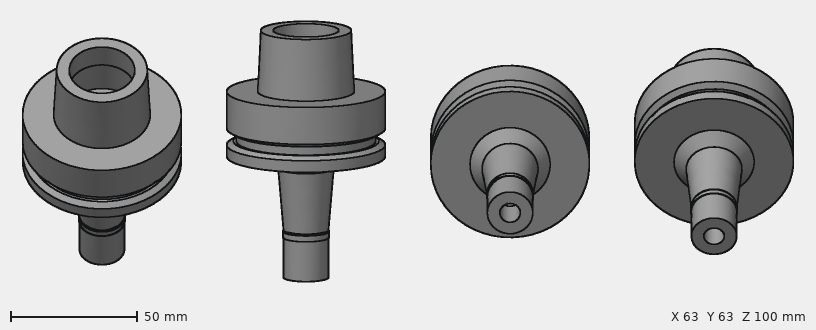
import cadquery as cq
import math

TOTAL_HEIGHT = 100.0
SLEEVE_HEIGHT = 16.2
COLLAR_HEIGHT = 2.4
RELIEF_HEIGHT = 0.6
FLANGE_HEIGHT = 26.3
TAPER_HEIGHT = 24.7

FLANGE_DIAMETER = 63.0
GROOVE_DIAMETER = 55.4
TAPER_BASE_DIAMETER = 38.4
TAPER_TOP_DIAMETER = 36.0
SHANK_TOP_DIAMETER = 22.2
NOSE_DIAMETER = 18.0
COLLAR_DIAMETER = 18.4
RELIEF_DIAMETER = 16.4

FLANGE_LIP_HEIGHT = 4.7
GROOVE_WIDTH = 6.6
GROOVE_CHAMFER_HEIGHT = 1.5
GROOVE_CHAMFER_ANGLE = 30.0

SHOULDER_HEIGHT = 4.8

SOCKET_DIAMETER = 26.0
SOCKET_LIP_DEPTH = 10.0
SOCKET_RECESS_DIAMETER = 29.0
HOLDER_BORE_DIAMETER = 12.0
NOSE_BORE_DIAMETER = 8.1

collar_top = SLEEVE_HEIGHT + COLLAR_HEIGHT
shank_bottom = collar_top + RELIEF_HEIGHT
flange_top = TOTAL_HEIGHT - TAPER_HEIGHT
flange_bottom = flange_top - FLANGE_HEIGHT
shoulder_bottom = flange_bottom - SHOULDER_HEIGHT


def tube(diameter, bore_diameter, bottom, height):
    """Straight tube on the Z axis."""
    base = cq.Workplane("XY").workplane(offset=bottom)
    return base.circle(diameter / 2).circle(bore_diameter / 2).extrude(height)


def make_holder():
    """Turned holder: relief neck, tapered shank, grooved flange and hollow taper."""
    groove_bottom = flange_bottom + FLANGE_LIP_HEIGHT
    groove_top = groove_bottom + GROOVE_WIDTH
    chamfer_width = GROOVE_CHAMFER_HEIGHT / math.tan(math.radians(GROOVE_CHAMFER_ANGLE))
    flange_radius = FLANGE_DIAMETER / 2
    groove_radius = GROOVE_DIAMETER / 2
    groove_mouth_radius = flange_radius - chamfer_width
    shank_radius = SHANK_TOP_DIAMETER / 2
    relief_radius = RELIEF_DIAMETER / 2
    bore_radius = HOLDER_BORE_DIAMETER / 2
    socket_radius = SOCKET_DIAMETER / 2
    recess_radius = SOCKET_RECESS_DIAMETER / 2
    lip_bottom = TOTAL_HEIGHT - SOCKET_LIP_DEPTH

    outside = [
        (relief_radius, collar_top),
        (relief_radius, shank_bottom),
        (NOSE_DIAMETER / 2, shank_bottom),
        (shank_radius, shoulder_bottom),
        (shank_radius + SHOULDER_HEIGHT, flange_bottom),
        (flange_radius, flange_bottom),
        (flange_radius, groove_bottom),
        (groove_mouth_radius, groove_bottom + GROOVE_CHAMFER_HEIGHT),
        (groove_radius, groove_bottom + GROOVE_CHAMFER_HEIGHT),
        (groove_radius, groove_top - GROOVE_CHAMFER_HEIGHT),
        (groove_mouth_radius, groove_top - GROOVE_CHAMFER_HEIGHT),
        (flange_radius, groove_top),
        (flange_radius, flange_top),
        (TAPER_BASE_DIAMETER / 2, flange_top),
        (TAPER_TOP_DIAMETER / 2, TOTAL_HEIGHT),
    ]
    inside = [
        (socket_radius, TOTAL_HEIGHT),
        (socket_radius, lip_bottom),
        (recess_radius, lip_bottom),
        (recess_radius, flange_top),
        (bore_radius, flange_top),
        (bore_radius, collar_top),
    ]
    profile = cq.Workplane("XZ").polyline(outside + inside).close()
    return profile.revolve(360, (0, 0, 0), (0, 1, 0))


holder = make_holder()
collar = tube(COLLAR_DIAMETER, NOSE_BORE_DIAMETER, SLEEVE_HEIGHT, COLLAR_HEIGHT)
sleeve = tube(NOSE_DIAMETER, NOSE_BORE_DIAMETER, 0, SLEEVE_HEIGHT)

result = cq.Compound.makeCompound([holder.val(), collar.val(), sleeve.val()])